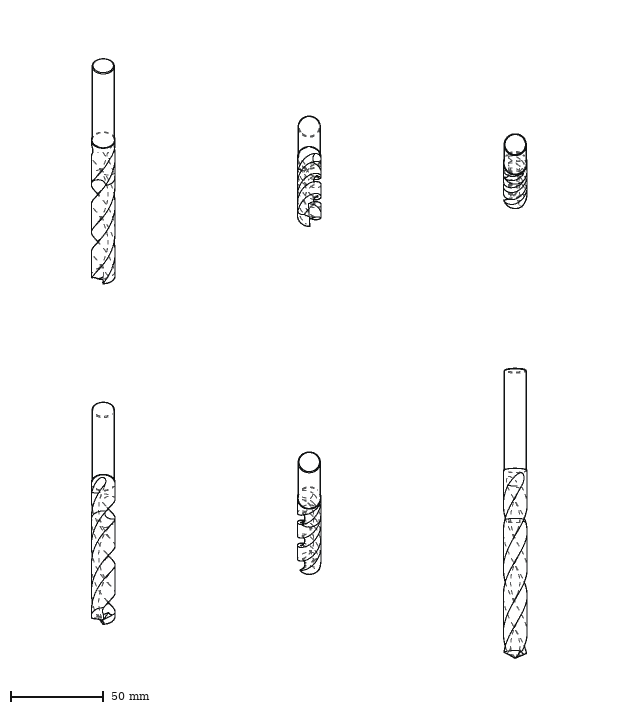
import cadquery as cq
import math

total_length = 158.0
cutting_diameter = 12.9
cutting_radius = cutting_diameter / 2
shank_diameter = 12.0
shank_length = 55.0
shank_chamfer = 0.5
point_angle = 130.0
head_length = 75.5

flute_count = 2
helix_angle = 30.0
flute_radius = 4.0
flute_length = 94.0
flute_end_azimuth = 218.0
runout_angle = 16.0
runout_lean = 39.0
runout_length = 14.0
point_overrun = 1.0

gash_azimuth = -29.0
gash_slope = 58.0
gash_reach = 4.5
gash_width = 5.0
half_chisel_width = 0.2

point_height = cutting_radius / math.tan(math.radians(point_angle / 2))
collar_top = total_length - shank_length
helix_lead = math.pi * cutting_diameter / math.tan(math.radians(helix_angle))


def helical_flute():
    """Round flute winding up the drill, its middle pointing along +X where it ends."""
    height = flute_length + point_overrun
    twist = 360 * height / helix_lead
    return (
        cq.Workplane("XY")
        .moveTo(cutting_radius, 0)
        .circle(flute_radius)
        .twistExtrude(height, twist)
        .rotate((0, 0, 0), (0, 0, 1), -twist)
        .translate((0, 0, -point_overrun))
    )


def flute_runout():
    """Straight end of the flute, leaning a little more than the helix and climbing out of the drill."""
    rise = runout_length * math.cos(math.radians(runout_lean))
    sideways = runout_length * math.sin(math.radians(runout_lean))
    outward = runout_length * math.tan(math.radians(runout_angle))
    centre = cq.Vector(cutting_radius, 0, flute_length)
    outline = cq.Wire.makeCircle(flute_radius, centre, cq.Vector(0, 0, 1))
    return cq.Workplane(cq.Solid.extrudeLinear(outline, [], cq.Vector(outward, sideways, rise)))


def cut_flutes(body):
    """Cut every flute with its runout from a body."""
    for index in range(flute_count):
        azimuth = flute_end_azimuth + index * 360 / flute_count
        for cutter in (helical_flute(), flute_runout()):
            body = body.cut(cutter.rotate((0, 0, 0), (0, 0, 1), azimuth))
    return body


def point_gash():
    """Square-cornered notch: an upright rake face along +X and a floor rising away from the tip."""
    rise = gash_reach * math.tan(math.radians(gash_slope))
    return (
        cq.Workplane("XZ", origin=(0, -half_chisel_width, 0))
        .polyline([(0, 0), (gash_reach, 0), (gash_reach, rise)])
        .close()
        .extrude(gash_width)
    )


def cutting_head():
    """Lower body: fluted cylinder with the cone point and its gashes."""
    half_outline = [
        (0, 0),
        (cutting_radius, point_height),
        (cutting_radius, head_length),
        (0, head_length),
    ]
    blank = (
        cq.Workplane("XZ")
        .polyline(half_outline)
        .close()
        .revolve(360, (0, 0, 0), (0, 1, 0))
    )
    head = cut_flutes(blank)
    for index in range(flute_count):
        azimuth = gash_azimuth + index * 360 / flute_count
        head = head.cut(point_gash().rotate((0, 0, 0), (0, 0, 1), azimuth))
    return head


def shank():
    """Upper body: collar where the flutes end, and the plain chamfered stem above it."""
    collar = (
        cq.Workplane("XY")
        .workplane(offset=head_length)
        .circle(cutting_radius)
        .extrude(collar_top - head_length)
    )
    stem = (
        cq.Workplane("XY")
        .workplane(offset=collar_top)
        .circle(shank_diameter / 2)
        .extrude(shank_length)
        .faces(">Z")
        .chamfer(shank_chamfer)
    )
    return cut_flutes(collar).union(stem)


result = cq.Compound.makeCompound([cutting_head().val(), shank().val()])